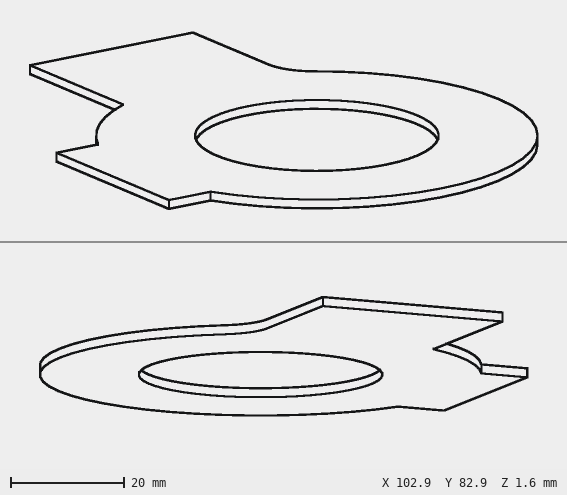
import cadquery as cq
import math

thickness = 1.6
ring_radius = 39.0
bore_diameter = 43.0
tab_width = 35.0
side_tab_reach = 63.9
bottom_tab_reach = 43.9
corner_radius = 10.0

half_width = tab_width / 2

ring = cq.Workplane("XY").circle(ring_radius).extrude(thickness)

side_tab = cq.Workplane("XY").box(
    side_tab_reach, tab_width, thickness, centered=(False, True, False)
).translate((-side_tab_reach, 0, 0))
bottom_tab = cq.Workplane("XY").box(
    tab_width, bottom_tab_reach, thickness, centered=(True, False, False)
).translate((0, -bottom_tab_reach, 0))
plate = ring.union(side_tab).union(bottom_tab)

corner_x = -math.sqrt(ring_radius**2 - half_width**2)
corner = cq.selectors.NearestToPointSelector((corner_x, half_width, thickness / 2))
plate = plate.edges("|Z").edges(corner).fillet(corner_radius)

bore = cq.Workplane("XY").circle(bore_diameter / 2).extrude(thickness)
result = plate.cut(bore)